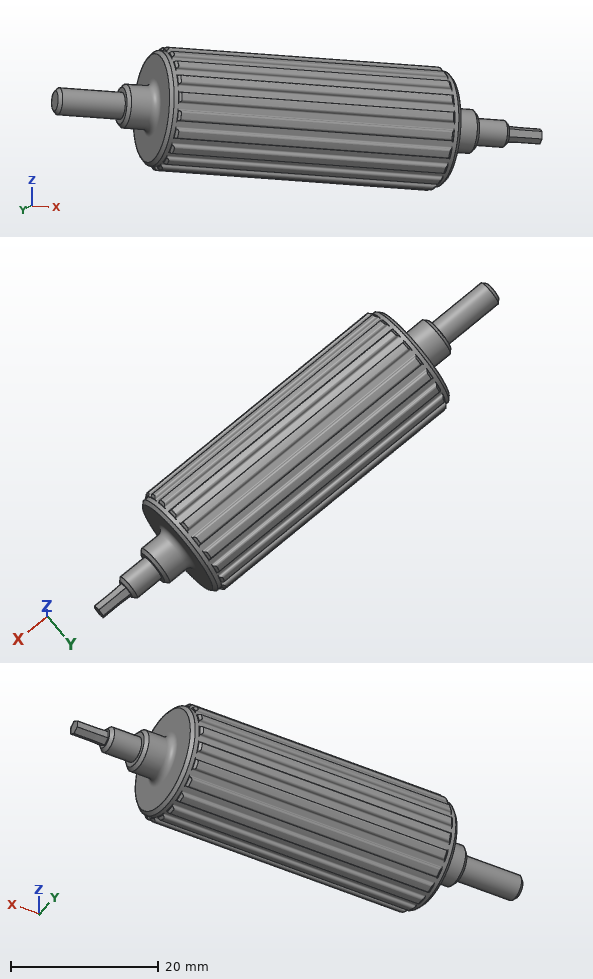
import cadquery as cq
import math

length = 69.8
edge_chamfer = 0.5

shaft_diameter = 3.7
shaft_end = 65.0
collar_diameter = 6.0
collar_length = 4.4
collar_fillet = 1.0

roller_start = 13.9
roller_length = 42.0
core_diameter = 15.8
rib_count = 20
rib_tip_diameter = 16.8
rib_width = 1.4
rib_inset = 1.1
rib_end_chamfer = 0.35
rib_top_radius = 0.35
rib_root_radius = 0.2

hex_across_flats = 1.8
hex_root_across_flats = 1.95
hex_taper_length = 1.7

roller_end = roller_start + roller_length
core_radius = core_diameter / 2
rib_tip_radius = rib_tip_diameter / 2


def cylinder(start, end, diameter):
    """Cylinder on the X axis between two positions."""
    return cq.Workplane("YZ").workplane(offset=start).circle(diameter / 2).extrude(end - start)


def make_core():
    """Shaft, collars and smooth roller joined on one axis."""
    shaft = cylinder(0, shaft_end, shaft_diameter).faces("<X or >X").chamfer(edge_chamfer)
    collars = cylinder(roller_start - collar_length, roller_end + collar_length, collar_diameter)
    collars = collars.faces("<X or >X").chamfer(edge_chamfer)
    roller = cylinder(roller_start, roller_end, core_diameter).faces("<X or >X").chamfer(edge_chamfer)
    return shaft.union(collars).union(roller)


def make_collar_fillet(face_position, outward):
    """Concave ring blending a collar into a roller end face; outward is -1 or 1 along X."""
    collar_radius = collar_diameter / 2
    axial_edge = face_position + outward * collar_fillet
    radial_edge = collar_radius + collar_fillet
    arc_offset = collar_fillet * (1 - math.sqrt(0.5))
    return (
        cq.Workplane("XY")
        .moveTo(face_position, 0)
        .lineTo(face_position, radial_edge)
        .threePointArc(
            (face_position + outward * arc_offset, collar_radius + arc_offset),
            (axial_edge, collar_radius),
        )
        .lineTo(axial_edge, 0)
        .close()
        .revolve(360, (0, 0, 0), (1, 0, 0))
    )


def make_ribs():
    """Evenly spaced ribs with rounded tops and blended roots, chamfered at both ends."""
    start = roller_start + rib_inset
    end = roller_end - rib_inset
    half_width = rib_width / 2
    root_y = half_width + rib_root_radius
    root_z = math.sqrt((core_radius + rib_root_radius) ** 2 - root_y**2)
    contact_scale = core_radius / (core_radius + rib_root_radius)
    contact_y = root_y * contact_scale
    contact_z = root_z * contact_scale
    contact_angle = math.atan2(contact_z - root_z, contact_y - root_y)
    mid_angle = (contact_angle - math.pi) / 2
    mid_y = root_y + rib_root_radius * math.cos(mid_angle)
    mid_z = root_z + rib_root_radius * math.sin(mid_angle)
    rib = (
        cq.Workplane("YZ")
        .workplane(offset=start)
        .moveTo(0, 0)
        .lineTo(contact_y, contact_z)
        .threePointArc((mid_y, mid_z), (half_width, root_z))
        .lineTo(half_width, rib_tip_radius)
        .lineTo(-half_width, rib_tip_radius)
        .lineTo(-half_width, root_z)
        .threePointArc((-mid_y, mid_z), (-contact_y, contact_z))
        .close()
        .extrude(end - start)
    )
    top_corners = cq.selectors.BoxSelector(
        (start, -rib_width, rib_tip_radius - rib_top_radius / 2),
        (end, rib_width, rib_tip_radius + rib_top_radius / 2),
    )
    rib = rib.edges("|X").edges(top_corners).fillet(rib_top_radius)
    envelope = cylinder(start, end, rib_tip_diameter).faces("<X or >X").chamfer(rib_end_chamfer)
    rib = rib.intersect(envelope)
    ribs = rib
    for index in range(1, rib_count):
        ribs = ribs.union(rib.rotate((0, 0, 0), (1, 0, 0), index * 360 / rib_count))
    return ribs


def hexagon(position, across_flats):
    """Hexagon outline across the X axis, with two flats facing +Y and -Y."""
    across_corners = across_flats / math.cos(math.pi / 6)
    return (
        cq.Workplane("YZ", origin=(position, 0, 0))
        .transformed(rotate=(0, 0, 90))
        .polygon(6, across_corners)
    )


def make_drive_tip():
    """Hexagonal tip that tapers from the shaft and then runs straight to the end."""
    straight_start = shaft_end + hex_taper_length
    root_outline = hexagon(shaft_end, hex_root_across_flats)
    taper_outline = hexagon(straight_start, hex_across_flats)
    taper = cq.Workplane(cq.Solid.makeLoft([root_outline.val(), taper_outline.val()], True))
    straight = taper_outline.extrude(length - straight_start)
    return taper.union(straight)


result = (
    make_core()
    .union(make_collar_fillet(roller_start, -1))
    .union(make_collar_fillet(roller_end, 1))
    .union(make_ribs())
    .union(make_drive_tip())
)